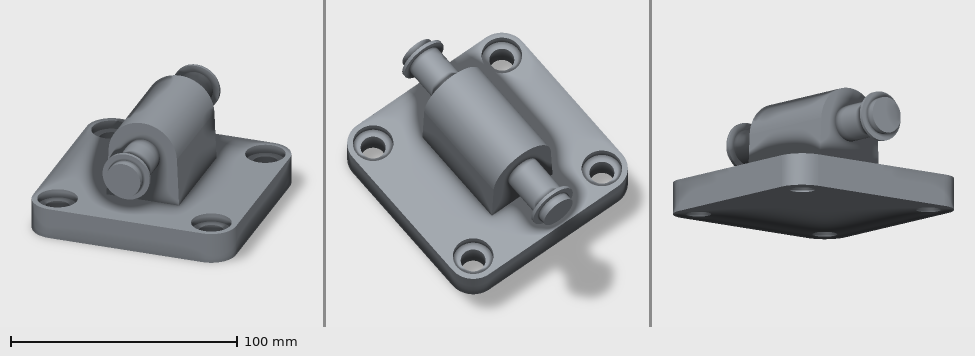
import cadquery as cq
import math

plate_side = 95.0
plate_thickness = 14.2
corner_radius = 11.5

hole_spacing = 72.0
hole_diameter = 11.0
counterbore_diameter = 18.0
counterbore_depth = 4.0

overall_height = 52.0
block_length = 50.0
block_base_width = 34.0
block_top_radius = 16.0
axis_height = overall_height - block_top_radius

pin_length = 102.0
pin_diameter = 16.0
ring_diameter = 22.0
ring_thickness = 1.5
ring_end_distance = 3.8


def cylinder_along_y(diameter, length, center_y):
    """Cylinder on the pin axis, centred at the given Y."""
    return (
        cq.Workplane("XZ", origin=(0, center_y + length / 2, axis_height))
        .circle(diameter / 2)
        .extrude(length)
    )


def make_plate():
    return (
        cq.Workplane("XY")
        .rect(plate_side, plate_side)
        .extrude(plate_thickness)
        .edges("|Z")
        .fillet(corner_radius)
        .faces(">Z")
        .workplane()
        .rect(hole_spacing, hole_spacing, forConstruction=True)
        .vertices()
        .cboreHole(hole_diameter, counterbore_diameter, counterbore_depth)
    )


def make_block():
    half_width = block_base_width / 2
    rise = axis_height - plate_thickness
    foot_to_axis = math.hypot(half_width, rise)
    tangent_angle = math.acos(block_top_radius / foot_to_axis) - math.atan2(rise, half_width)
    tangent_x = block_top_radius * math.cos(tangent_angle)
    tangent_z = axis_height + block_top_radius * math.sin(tangent_angle)
    return (
        cq.Workplane("XZ")
        .moveTo(-half_width, plate_thickness)
        .lineTo(half_width, plate_thickness)
        .lineTo(tangent_x, tangent_z)
        .threePointArc((0, overall_height), (-tangent_x, tangent_z))
        .close()
        .extrude(block_length / 2, both=True)
    )


def make_pin():
    pin = cylinder_along_y(pin_diameter, pin_length, 0)
    ring_y = pin_length / 2 - ring_end_distance - ring_thickness / 2
    for side in (-1, 1):
        pin = pin.union(cylinder_along_y(ring_diameter, ring_thickness, side * ring_y))
    return pin


result = make_plate().union(make_block()).union(make_pin())